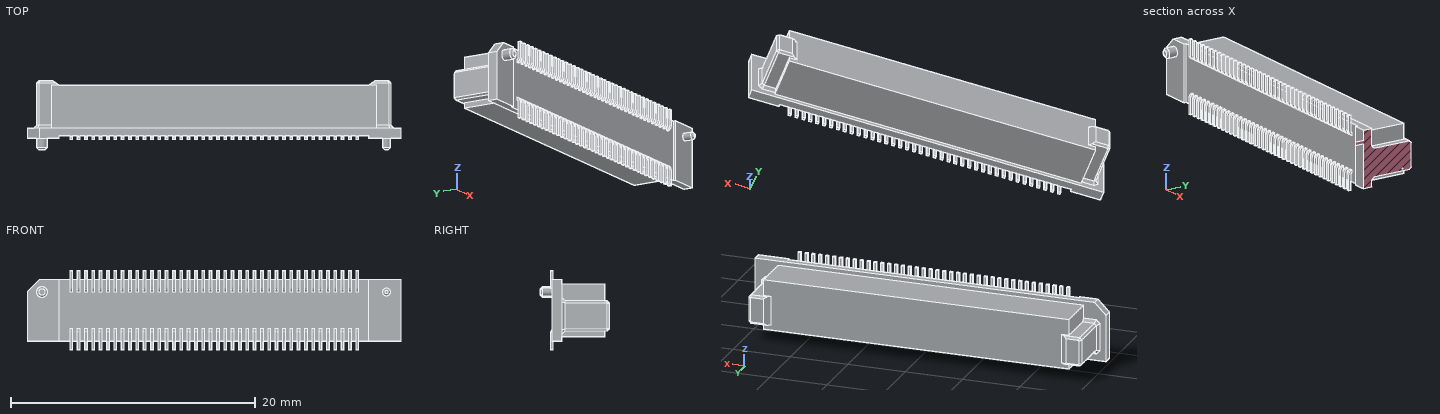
import cadquery as cq
import math


flange_length = 30.6
flange_height = 5.08
flange_thickness = 0.83
corner_chamfer = 1.0
recess_length = 25.35
recess_depth = 0.2

housing_center_x = -0.03

housing_length = 26.62
housing_height = 4.35
housing_depth = 3.52
housing_top = flange_thickness + housing_depth

key_outer_x = 14.5
key_inner_x = 13.2
key_height = 2.5
key_center_z = -0.45
key_rise = 0.37
key_slope_run = 0.52
key_top = housing_top + key_rise
key_chamfer = 0.18
flare_size = 0.25
flare_taper = 45.0

post_x = 14.1
post_z = 1.5
post_length = 0.95
post_tip_chamfer = 0.18
left_post_diameter = 0.9
right_post_diameter = 0.65

contact_count = 40
contact_span = 23.4
contact_pitch = contact_span / (contact_count - 1)
contact_width = 0.23
contact_thickness = 0.2
contact_tip_z = 3.25
contact_root_z = 1.47
contact_front_y = -0.107
bend_radius = 0.43
root_embed = 0.15


def box(x_range, y_range, z_range):
    """Box spanning the given (low, high) ranges."""
    size = [high - low for low, high in (x_range, y_range, z_range)]
    corner = (x_range[0], y_range[0], z_range[0])
    return cq.Workplane("XY").box(*size, centered=False).translate(corner)


def centered_range(length, center=0.0):
    """(low, high) range of the given length about a center."""
    return (center - length / 2, center + length / 2)


def make_flange():
    """Plate with one cut corner and a shallow recess between its end pads."""
    plate = box(
        centered_range(flange_length),
        (0, flange_thickness),
        centered_range(flange_height),
    )
    plate = plate.edges("|Y and <X and >Z").chamfer(corner_chamfer)
    recess = box(
        centered_range(recess_length, housing_center_x),
        (0, recess_depth),
        centered_range(flange_height),
    )
    return plate.cut(recess)


def make_housing():
    """Plain block with mirrored keys on its two ends."""
    block = box(
        centered_range(housing_length),
        (flange_thickness, housing_top),
        centered_range(housing_height),
    )
    left_key = make_left_key()
    housing = block.union(left_key).union(left_key.mirror("YZ"))
    return housing.translate((housing_center_x, 0, 0))


def make_left_key():
    """Chamfered block with a flared foot and an inner side sloping onto the housing."""
    slope_end_x = -key_inner_x + key_slope_run
    block = box(
        (-key_outer_x, slope_end_x),
        (flange_thickness, key_top),
        centered_range(key_height, key_center_z),
    )
    block = block.faces("<X").edges("|Y").chamfer(key_chamfer)
    block = block.faces(">Y").edges("not >X").chamfer(key_chamfer)
    slope = (
        cq.Workplane("XY")
        .moveTo(-key_inner_x, key_top)
        .lineTo(slope_end_x, housing_top)
        .lineTo(slope_end_x, key_top)
        .close()
        .extrude(flange_height, both=True)
    )

    foot_length = slope_end_x + key_outer_x + 2 * flare_size
    foot_height = key_height + 2 * flare_size
    foot_chamfer = key_chamfer + flare_size * (2 - math.sqrt(2))
    foot_center_x = (slope_end_x - key_outer_x) / 2
    foot_outline = cq.Sketch().rect(foot_length, foot_height).vertices().chamfer(foot_chamfer)
    foot = (
        cq.Workplane("XZ", origin=(foot_center_x, flange_thickness, key_center_z))
        .placeSketch(foot_outline)
        .extrude(-flare_size, taper=flare_taper)
    )
    return block.cut(slope).union(foot)


def make_post(x, diameter):
    """Round post with a chamfered tip, rooted in the end pad."""
    post = cq.Workplane("XZ", origin=(x, 0, post_z)).circle(diameter / 2).extrude(post_length)
    return post.faces("<Y").chamfer(post_tip_chamfer)


def make_contact():
    """Flat tail that bends through a quarter circle into the recess floor."""
    inner_radius = bend_radius - contact_thickness
    back_y = contact_front_y + contact_thickness
    bend_y = contact_front_y + bend_radius
    bend_z = contact_root_z + bend_radius
    root_y = bend_y + root_embed
    inner_root_z = contact_root_z + contact_thickness
    diagonal = math.sqrt(0.5)
    outer_mid = (bend_y - bend_radius * diagonal, bend_z - bend_radius * diagonal)
    inner_mid = (bend_y - inner_radius * diagonal, bend_z - inner_radius * diagonal)
    return (
        cq.Workplane("YZ")
        .moveTo(contact_front_y, contact_tip_z)
        .lineTo(contact_front_y, bend_z)
        .threePointArc(outer_mid, (bend_y, contact_root_z))
        .lineTo(root_y, contact_root_z)
        .lineTo(root_y, inner_root_z)
        .lineTo(bend_y, inner_root_z)
        .threePointArc(inner_mid, (back_y, bend_z))
        .lineTo(back_y, contact_tip_z)
        .close()
        .extrude(contact_width / 2, both=True)
    )


def make_contacts():
    """Upper and lower rows of contacts, mirrored about Z = 0."""
    upper = make_contact().val()
    lower = upper.mirror("XY")
    contacts = []
    for index in range(contact_count):
        x = -contact_span / 2 + index * contact_pitch
        contacts.append(upper.translate(cq.Vector(x, 0, 0)))
        contacts.append(lower.translate(cq.Vector(x, 0, 0)))
    return contacts


body = make_flange().union(make_housing())
body = body.union(make_post(-post_x, left_post_diameter))
body = body.union(make_post(post_x, right_post_diameter))
result = cq.Workplane("XY").newObject([body.val().fuse(*make_contacts())])